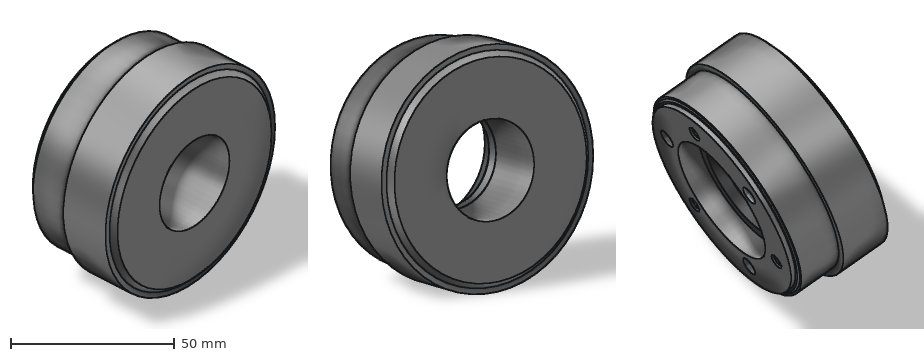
import cadquery as cq
import math

TOTAL_LENGTH = 35.81
PILOT_LENGTH = 1.75
PILOT_CONE_LENGTH = 0.45
BODY_START = PILOT_LENGTH + PILOT_CONE_LENGTH
FLANGE_START = 16.75
FLANGE_END = 34.05

FLANGE_RADIUS = 38.86
BODY_RADIUS = 36.5
PILOT_CONE_RADIUS = 35.75
PILOT_SHOULDER_RADIUS = 35.0
PILOT_RADIUS = 34.25
REAR_BOSS_RADIUS = 37.0
REAR_CHAMFER = TOTAL_LENGTH - FLANGE_END

COUNTERBORE_RADIUS = 21.5
COUNTERBORE_DEPTH = 7.8
LEAD_IN_RADIUS = 17.9
LEAD_IN_END = 10.95
BORE_RADIUS = 15.9
RELIEF_START = 14.65
RELIEF_STEP = 0.1
RELIEF_RADIUS = BORE_RADIUS + RELIEF_STEP

HOLE_CIRCLE_RADIUS = 27.0
HOLES_PER_SET = 3
HOLE_SPACING = 360.0 / HOLES_PER_SET
HOLE_DEPTH = 10.0
DOWEL_HOLE_DIAMETER = 6.0
SCREW_HOLE_DIAMETER = 3.7
COUNTERSINK_DIAMETER = 4.9
COUNTERSINK_DEPTH = (COUNTERSINK_DIAMETER - SCREW_HOLE_DIAMETER) / 2


def revolve_about_x(points):
    """Revolve a closed (x, radius) outline a full turn about the X axis."""
    return cq.Workplane("XY").polyline(points).close().revolve(360, (0, 0, 0), (1, 0, 0))


def make_body():
    """Stepped outside of the ring, without any bores."""
    return revolve_about_x([
        (0, 0),
        (0, PILOT_RADIUS),
        (PILOT_LENGTH, PILOT_RADIUS),
        (PILOT_LENGTH, PILOT_SHOULDER_RADIUS),
        (BODY_START, PILOT_CONE_RADIUS),
        (BODY_START, BODY_RADIUS),
        (FLANGE_START, BODY_RADIUS),
        (FLANGE_START, FLANGE_RADIUS),
        (FLANGE_END, FLANGE_RADIUS),
        (FLANGE_END, REAR_BOSS_RADIUS),
        (TOTAL_LENGTH, REAR_BOSS_RADIUS - REAR_CHAMFER),
        (TOTAL_LENGTH, 0),
    ])


def make_bore():
    """Counterbore, conical lead-in, bore and slightly larger rear relief."""
    return revolve_about_x([
        (0, 0),
        (0, COUNTERBORE_RADIUS),
        (COUNTERBORE_DEPTH, COUNTERBORE_RADIUS),
        (COUNTERBORE_DEPTH, LEAD_IN_RADIUS),
        (LEAD_IN_END, BORE_RADIUS),
        (RELIEF_START, BORE_RADIUS),
        (RELIEF_START, RELIEF_RADIUS),
        (TOTAL_LENGTH, RELIEF_RADIUS),
        (TOTAL_LENGTH, 0),
    ])


def make_dowel_hole():
    """Plain blind hole on the X axis."""
    radius = DOWEL_HOLE_DIAMETER / 2
    return revolve_about_x([(0, 0), (0, radius), (HOLE_DEPTH, radius), (HOLE_DEPTH, 0)])


def make_screw_hole():
    """Blind hole with a 45 degree countersink on the X axis."""
    radius = SCREW_HOLE_DIAMETER / 2
    return revolve_about_x([
        (0, 0),
        (0, COUNTERSINK_DIAMETER / 2),
        (COUNTERSINK_DEPTH, radius),
        (HOLE_DEPTH, radius),
        (HOLE_DEPTH, 0),
    ])


def cut_hole_set(part, hole, start_angle):
    """Cut equally spaced copies of a hole, with angles measured from +Y towards +Z."""
    for index in range(HOLES_PER_SET):
        angle = math.radians(start_angle + index * HOLE_SPACING)
        y = HOLE_CIRCLE_RADIUS * math.cos(angle)
        z = HOLE_CIRCLE_RADIUS * math.sin(angle)
        part = part.cut(hole.translate((0, y, z)))
    return part


result = make_body().cut(make_bore())
result = cut_hole_set(result, make_dowel_hole(), 0)
result = cut_hole_set(result, make_screw_hole(), HOLE_SPACING / 2)